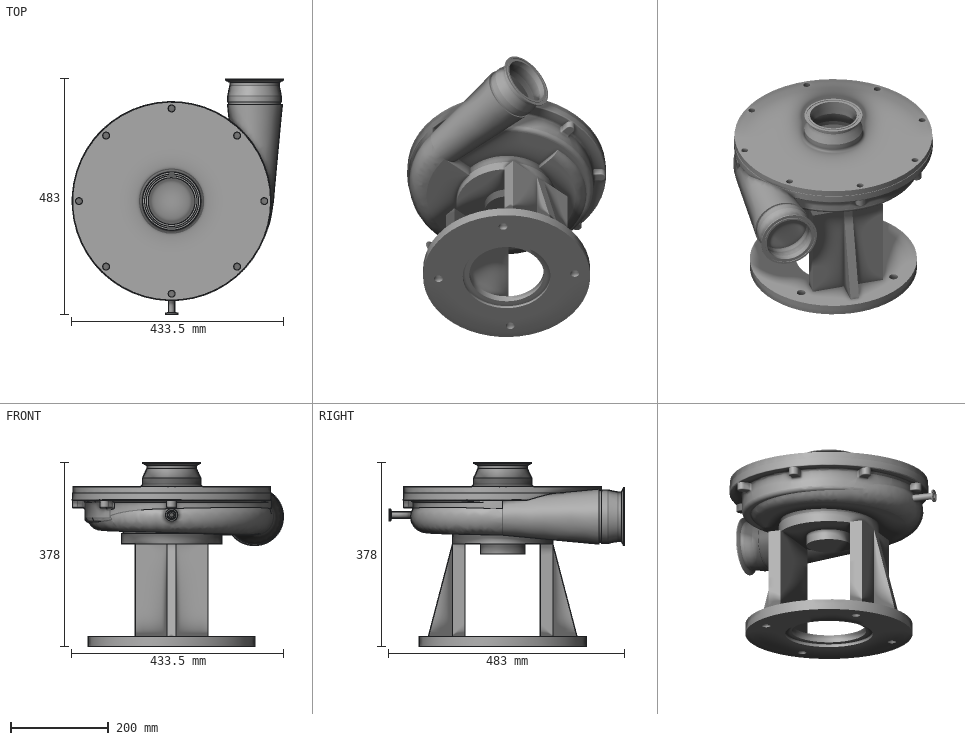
import cadquery as cq
import math

base_thickness = 21.0
total_height = 378.0
inlet_height = 50.0
cover_thickness = 12.5
flange_thickness = 16.0
cover_top = total_height - inlet_height
cover_bottom = cover_top - cover_thickness
flange_bottom = cover_bottom - flange_thickness
mount_bottom = 210.5
mount_top = 232.0
hub_bottom = 189.5
volute_level = 266.5
drain_level = 270.0

base_radius = 171.5
base_bore_radius = 76.5
base_recess_radius = 90.0
base_recess_depth = 6.0
base_hole_circle_radius = 140.0
base_hole_diameter = 18.0
upright_width = 150.0
upright_thickness = 26.0
rib_thickness = 18.0
rib_foot_reach = 152.5

mount_radius = 103.0
mount_neck_radius = 99.5
mount_neck_overlap = 5.0
hub_radius = 46.0
flange_radius = 204.0
cover_radius = 203.0
body_radius = 178.0
body_bottom = 254.5
body_edge_fillet = 9.0
root_fillet = 4.0
root_tolerance = 0.1
flange_edge_fillet = 2.0

bolt_count = 8
bolt_circle_radius = 190.0
bolt_hole_diameter = 14.0
bolt_boss_radius = 10.0
bolt_boss_bottom = 284.5
bolt_boss_edge_fillet = 2.0
boss_setback = 0.5
boss_angles = (90, 135, 180, 225, 270)

spiral_start_angle = 90.0
spiral_end_angle = 360.0
spiral_section_count = 13
spiral_start_tube_radius = 22.0
spiral_end_tube_radius = 38.0
spiral_start_reach = 160.0
spiral_breakout_angle = 225.0
spiral_end_reach = 209.0
wall_end_radius = 205.0
wall_growth_power = 1.4
wall_point_count = 7
neck_taper = 45.0

ferrule_radius = 59.45
ferrule_rim = 2.0
ferrule_taper = 4.5
pipe_radius = 50.8
pipe_bore_radius = 48.0
pipe_wall = pipe_radius - pipe_bore_radius
pipe_end = 13.0
groove_inner_radius = 52.0
groove_outer_radius = 55.5
groove_depth = 1.5

inlet_bore_flare_start = 29.5
inlet_bore_flare_end = 54.0
inlet_bore_foot_radius = 57.0
inlet_foot_radius = 60.0
inlet_flare_end = 32.5
inlet_foot_fillet = 5.7

outlet_x = 170.0
outlet_end = 250.0
outlet_foot_radius = 55.0
outlet_flare_end = 34.0
outlet_foot_length = 47.0
joint_radius = 53.5
cone_x = spiral_end_reach - spiral_end_tube_radius
cone_end = 198.0
cone_end_radius = 56.5

drain_angle = 270.0
drain_end = 233.0
drain_pipe_radius = 6.75
drain_bore_radius = 4.7
drain_ferrule_radius = 12.6
drain_rim = 3.0
drain_taper = 2.0
drain_groove_inner_radius = 7.5
drain_groove_outer_radius = 9.5
drain_groove_depth = 1.0


def disc(radius, bottom, top):
    return cq.Workplane("XY").workplane(offset=bottom).circle(radius).extrude(top - bottom)


def polar(radius, angle):
    turn = math.radians(angle)
    return radius * math.cos(turn), radius * math.sin(turn)


def revolved(profile):
    """Turn a closed profile, drawn as radius against height, about the Z axis."""
    return profile.close().revolve(360, (0, 0, 0), (0, 1, 0))


def ring(inner, outer, bottom, top):
    return disc(outer, bottom, top).cut(disc(inner, bottom, top))


def pedestal():
    base = disc(base_radius, 0, base_thickness).cut(disc(base_bore_radius, 0, base_thickness))
    base = base.cut(disc(base_recess_radius, 0, base_recess_depth))
    hole_span = base_hole_circle_radius * math.sqrt(2)
    base = (
        base.faces(">Z").workplane(origin=(0, 0, base_thickness))
        .rect(hole_span, hole_span, forConstruction=True).vertices().hole(base_hole_diameter)
    )
    upright_height = mount_bottom - base_thickness
    for side in (-1, 1):
        upright = cq.Workplane("XY").box(
            upright_width, upright_thickness, upright_height, centered=(True, True, False)
        ).translate((0, side * (mount_radius - upright_thickness / 2), base_thickness))
        rib = (
            cq.Workplane("YZ")
            .polyline([
                (side * (mount_radius - upright_thickness / 2), base_thickness),
                (side * rib_foot_reach, base_thickness),
                (side * mount_radius, mount_bottom),
                (side * (mount_radius - upright_thickness / 2), mount_bottom),
            ])
            .close().extrude(rib_thickness / 2, both=True)
        )
        base = base.union(upright).union(rib)
    return base


def mount():
    """Mounting plate, the narrower neck joining it to the casing, and the hub below it."""
    plate = disc(mount_radius, mount_bottom, mount_top)
    neck = disc(mount_neck_radius, mount_top, body_bottom)
    hub = disc(hub_radius, hub_bottom, mount_bottom)
    return plate.union(neck).union(hub)


def bolt_boss(angle):
    """Round-nosed boss under the flange, running inward into the casing body."""
    nose_centre = flange_radius - bolt_boss_radius - boss_setback
    height = flange_bottom + flange_edge_fillet - bolt_boss_bottom
    nose = cq.Workplane("XY").center(nose_centre, 0).circle(bolt_boss_radius).extrude(height)
    inner = body_radius - bolt_boss_radius
    tail = cq.Workplane("XY").box(
        nose_centre - inner, 2 * bolt_boss_radius, height, centered=(False, True, False)
    ).translate((inner, 0, 0))
    boss = nose.union(tail, clean=True).faces("<Z").edges("not(<X)").fillet(bolt_boss_edge_fillet)
    return boss.translate((0, 0, bolt_boss_bottom)).rotate((0, 0, 0), (0, 0, 1), angle)


def is_root(edge):
    """True for edges where the body wall meets the flange or a boss."""
    ends = [math.hypot(vertex.X, vertex.Y) for vertex in edge.Vertices()]
    on_wall = all(abs(radius - body_radius) < root_tolerance for radius in ends)
    return on_wall and edge.Center().z > volute_level


def casing():
    """Round body with a rounded lower edge, the bolted flange with its bosses, and the cover."""
    body = disc(body_radius, body_bottom, flange_bottom).faces("<Z").edges().fillet(body_edge_fillet)
    flange = disc(flange_radius, flange_bottom, cover_bottom).faces("<Z").edges().fillet(flange_edge_fillet)
    body = body.union(flange)
    for angle in boss_angles:
        body = body.union(bolt_boss(angle))
    roots = [edge for edge in body.edges().vals() if is_root(edge)]
    body = body.newObject(roots).fillet(root_fillet)
    return body.union(disc(cover_radius, cover_bottom, cover_top))


def spiral_size(angle):
    """Outer reach and channel radius; the channel breaks out of the body wall part way round."""
    share = (angle - spiral_start_angle) / (spiral_end_angle - spiral_start_angle)
    if angle < spiral_breakout_angle:
        sweep = (angle - spiral_start_angle) / (spiral_breakout_angle - spiral_start_angle)
        reach = spiral_start_reach + sweep * (body_radius - spiral_start_reach)
    else:
        sweep = (angle - spiral_breakout_angle) / (spiral_end_angle - spiral_breakout_angle)
        reach = body_radius + sweep * (spiral_end_reach - body_radius)
    tube = spiral_start_tube_radius + share * (spiral_end_tube_radius - spiral_start_tube_radius)
    return reach, tube


def volute_section(angle):
    """Upright cross-section: flat top and floor towards the shaft, half round on the outside."""
    reach, tube = spiral_size(angle)
    centre = reach - tube
    inner = mount_neck_radius - mount_neck_overlap
    outward = cq.Vector(*polar(1, angle))
    backward = cq.Vector(*polar(1, angle - 90))
    plane = cq.Plane(origin=(0, 0, volute_level), xDir=outward, normal=backward)
    return (
        cq.Workplane(plane).moveTo(inner, -tube).lineTo(centre, -tube)
        .threePointArc((reach, 0), (centre, tube)).lineTo(inner, tube).close().val()
    )


def spread(first, last, count):
    return [first + index * (last - first) / (count - 1) for index in range(count)]


def volute():
    angles = spread(spiral_start_angle, spiral_end_angle, spiral_section_count)
    return cq.Workplane(obj=cq.Solid.makeLoft([volute_section(angle) for angle in angles]))


def wall_outline(bottom, growth=0.0):
    """Sector from the shaft to the upright volute wall, enlarged outward by a growth."""
    points = []
    for angle in spread(spiral_breakout_angle, spiral_end_angle, wall_point_count):
        share = (angle - spiral_breakout_angle) / (spiral_end_angle - spiral_breakout_angle)
        radius = body_radius + growth + (wall_end_radius - body_radius) * share**wall_growth_power
        points.append(polar(radius, angle))
    return (
        cq.Workplane("XY").workplane(offset=bottom).lineTo(*points[0])
        .spline(points[1:], includeCurrent=True).close()
    )


def volute_wall():
    """Upright wall above the channel, swelling out to the flange edge, with a sloped neck on top."""
    wall = wall_outline(volute_level).extrude(flange_bottom - volute_level)
    neck = wall_outline(flange_bottom, root_fillet).extrude(-root_fillet, taper=neck_taper)
    inside_flange = disc(flange_radius - flange_edge_fillet, flange_bottom - root_fillet, flange_bottom)
    return wall.union(neck.intersect(inside_flange))


def outlet_cone():
    cone = cq.Solid.makeCone(
        spiral_end_tube_radius, cone_end_radius, cone_end,
        cq.Vector(cone_x, 0, volute_level), cq.Vector(0, 1, 0),
    )
    return cq.Workplane(obj=cone)


def ferrule_groove():
    return ring(groove_inner_radius, groove_outer_radius, -groove_depth, 0)


def flared_nozzle(foot_radius, flare_end, foot):
    """Clamp nozzle pointing up with its sealing face at zero, widening towards its foot."""
    return revolved(
        cq.Workplane("XZ").moveTo(0, 0).lineTo(ferrule_radius, 0).lineTo(ferrule_radius, -ferrule_rim)
        .lineTo(pipe_radius, -ferrule_rim - ferrule_taper).lineTo(pipe_radius, -pipe_end)
        .lineTo(foot_radius, -flare_end).lineTo(foot_radius, -foot).lineTo(0, -foot)
    )


def flared_bore(foot_radius, flare_start, flare_end, foot):
    return revolved(
        cq.Workplane("XZ").moveTo(0, 0).lineTo(pipe_bore_radius, 0).lineTo(pipe_bore_radius, -flare_start)
        .lineTo(foot_radius, -flare_end).lineTo(foot_radius, -foot).lineTo(0, -foot)
    )


def place_inlet(shape):
    return shape.translate((0, 0, total_height))


def place_outlet(shape):
    return shape.rotate((0, 0, 0), (1, 0, 0), -90).translate((outlet_x, outlet_end, volute_level))


def inlet_foot():
    return revolved(
        cq.Workplane("XZ").moveTo(0, cover_top).lineTo(inlet_foot_radius + inlet_foot_fillet, cover_top)
        .radiusArc((inlet_foot_radius, cover_top + inlet_foot_fillet), inlet_foot_fillet)
        .lineTo(0, cover_top + inlet_foot_fillet)
    )


def outlet_joint():
    """Slightly narrower neck between the outlet nozzle and the cone."""
    return cq.Workplane(obj=cq.Solid.makeCylinder(
        joint_radius, outlet_end - outlet_foot_length - cone_end,
        cq.Vector(outlet_x, cone_end, volute_level), cq.Vector(0, 1, 0),
    ))


def drain():
    """Small clamp-ended pipe leaving the volute towards -Y."""
    reach, tube = spiral_size(drain_angle)
    root = reach - tube
    length = drain_end - root
    pipe = revolved(
        cq.Workplane("XZ").moveTo(0, 0).lineTo(drain_ferrule_radius, 0)
        .lineTo(drain_ferrule_radius, -drain_rim).lineTo(drain_pipe_radius, -drain_rim - drain_taper)
        .lineTo(drain_pipe_radius, -length).lineTo(0, -length)
    )
    bore = disc(drain_bore_radius, -(drain_end - body_radius), 0)
    groove = ring(drain_groove_inner_radius, drain_groove_outer_radius, -drain_groove_depth, 0)
    return [
        shape.rotate((0, 0, 0), (1, 0, 0), 90).translate((0, -drain_end, drain_level))
        for shape in (pipe, bore.union(groove))
    ]


def bolt_positions():
    return [polar(bolt_circle_radius, index * 360 / bolt_count) for index in range(bolt_count)]


def bolt_holes():
    return (
        cq.Workplane("XY").workplane(offset=cover_bottom).pushPoints(bolt_positions())
        .circle(bolt_hole_diameter / 2).extrude(cover_thickness)
    )


drain_pipe, drain_opening = drain()
inlet_nozzle = flared_nozzle(inlet_foot_radius, inlet_flare_end, inlet_height)
inlet_bore = flared_bore(
    inlet_bore_foot_radius, inlet_bore_flare_start, inlet_bore_flare_end, total_height - cover_bottom
)
outlet_nozzle = flared_nozzle(outlet_foot_radius, outlet_flare_end, outlet_foot_length)
outlet_bore = flared_bore(outlet_foot_radius - pipe_wall, pipe_end, outlet_flare_end, outlet_foot_length)

result = pedestal().union(mount()).union(casing()).union(volute()).union(volute_wall())
result = result.union(outlet_cone()).union(outlet_joint()).union(place_outlet(outlet_nozzle))
result = result.union(place_inlet(inlet_nozzle)).union(inlet_foot()).union(drain_pipe)

result = result.cut(place_inlet(inlet_bore)).cut(place_outlet(outlet_bore))
result = result.cut(place_inlet(ferrule_groove())).cut(place_outlet(ferrule_groove()))
result = result.cut(drain_opening).cut(bolt_holes())